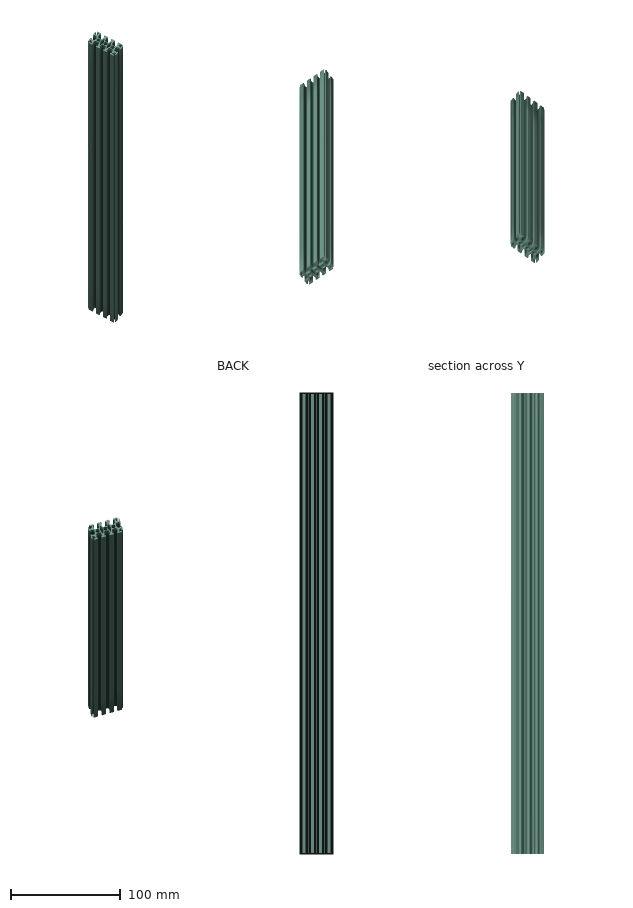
import cadquery as cq
import math

WIDTH = 30.0
DEPTH = 15.0
LENGTH = 420.0
SLOT_PITCH = 7.5

MOUTH_HALF = 1.75
LIP_RADIUS = 0.5
LIP_THICKNESS = 1.3
CAVITY_HALF_TOP = 2.8
CAVITY_HALF = 2.4
TAPER_END = 2.9
FLOOR_HALF = 1.15
FLOOR_SLOPE = math.radians(4.9)
FLOOR_CORNER_HEIGHT = 0.7
FACE_SLOT_DEPTH = 5.4
SIDE_SLOT_DEPTH = 4.8

CORNER_MOUTH = 1.4
CORNER_LIP_TURN = math.radians(173.5)
CORNER_POCKET = 3.8
POCKET_BULGE = 0.7

BORE_RADIUS = 1.8
VOID_X = 3.6
VOID_HALF_WIDTH = 1.45
VOID_HALF_HEIGHT = 4.5
VOID_SIDE_HALF = 0.5

OVERCUT = 1.0


def lip_point(mouth, angle):
    """Point on a rounded lip after turning by `angle` from the outer face, as (across, depth)."""
    across = mouth + LIP_RADIUS * (1 - math.sin(angle))
    depth = LIP_RADIUS * (1 - math.cos(angle))
    return across, depth


def slot_half(depth, sloped):
    """Corners of one half of a slot, from the lip down to the floor edge, as (across, depth)."""
    floor_rise = FLOOR_HALF * math.tan(FLOOR_SLOPE) if sloped else 0.0
    return [
        (MOUTH_HALF, LIP_THICKNESS),
        (CAVITY_HALF_TOP, LIP_THICKNESS),
        (CAVITY_HALF, TAPER_END),
        (CAVITY_HALF, depth - FLOOR_CORNER_HEIGHT),
        (FLOOR_HALF, depth - floor_rise),
    ]


def slot_cutter(depth, left_sloped=True, right_sloped=True):
    """Slot opening toward +Y, with its mouth centred on the origin."""
    edge = MOUTH_HALF + LIP_RADIUS
    lip_middle = lip_point(MOUTH_HALF, math.pi / 4)
    lip_end = lip_point(MOUTH_HALF, math.pi / 2)

    def right(point):
        return point[0], -point[1]

    def left(point):
        return -point[0], -point[1]

    outline = cq.Workplane("XY").moveTo(edge, 0).threePointArc(right(lip_middle), right(lip_end))
    for point in slot_half(depth, right_sloped):
        outline = outline.lineTo(*right(point))
    outline = outline.lineTo(0, -depth)
    for point in reversed(slot_half(depth, left_sloped)):
        outline = outline.lineTo(*left(point))
    outline = outline.lineTo(*left(lip_end)).threePointArc(left(lip_middle), (-edge, 0))
    outline = outline.lineTo(-edge, OVERCUT).lineTo(edge, OVERCUT).close()
    return outline.extrude(LENGTH)


def corner_cutter():
    """Groove for a corner at the origin, with the bar on its +X +Y side."""
    edge = CORNER_MOUTH + LIP_RADIUS
    lip_middle = lip_point(CORNER_MOUTH, CORNER_LIP_TURN / 2)
    lip_end = lip_point(CORNER_MOUTH, CORNER_LIP_TURN)
    back_slope = math.tan(math.pi - CORNER_LIP_TURN)
    back_end = (CORNER_POCKET, lip_end[1] + (CORNER_POCKET - lip_end[0]) * back_slope)
    bulge = back_end[1] + POCKET_BULGE * (CORNER_POCKET - back_end[1])

    def mirrored(point):
        return point[1], point[0]

    return (
        cq.Workplane("XY")
        .moveTo(edge, 0)
        .threePointArc(lip_middle, lip_end)
        .lineTo(*back_end)
        .threePointArc((bulge, bulge), mirrored(back_end))
        .lineTo(*mirrored(lip_end))
        .threePointArc(mirrored(lip_middle), (0, edge))
        .lineTo(-OVERCUT, edge)
        .lineTo(-OVERCUT, -OVERCUT)
        .lineTo(edge, -OVERCUT)
        .close()
        .extrude(LENGTH)
    )


def placed(cutter, angle, x, y):
    return cutter.rotate((0, 0, 0), (0, 0, 1), angle).translate((x, y, 0))


def cut_slots(bar):
    """Three slots in each wide face and one in each narrow face."""
    centre_slot = slot_cutter(FACE_SLOT_DEPTH)
    flat_right = slot_cutter(FACE_SLOT_DEPTH, right_sloped=False)
    flat_left = slot_cutter(FACE_SLOT_DEPTH, left_sloped=False)
    wide_face_slots = (
        (-SLOT_PITCH, flat_right, flat_left),
        (0, centre_slot, centre_slot),
        (SLOT_PITCH, flat_left, flat_right),
    )
    for x, back_slot, front_slot in wide_face_slots:
        bar = bar.cut(placed(back_slot, 0, x, DEPTH / 2))
        bar = bar.cut(placed(front_slot, 180, x, -DEPTH / 2))
    side_slot = slot_cutter(SIDE_SLOT_DEPTH)
    bar = bar.cut(placed(side_slot, 90, -WIDTH / 2, 0))
    return bar.cut(placed(side_slot, -90, WIDTH / 2, 0))


def cut_corners(bar):
    groove = corner_cutter()
    corners = ((0, -1, -1), (90, 1, -1), (180, 1, 1), (270, -1, 1))
    for angle, x_side, y_side in corners:
        bar = bar.cut(placed(groove, angle, x_side * WIDTH / 2, y_side * DEPTH / 2))
    return bar


def cut_cores(bar):
    """Round bores between opposite slots, and a tall six-sided void inside each inner rib."""
    bore_centres = [(-SLOT_PITCH, 0), (0, 0), (SLOT_PITCH, 0)]
    bar = bar.cut(cq.Workplane("XY").pushPoints(bore_centres).circle(BORE_RADIUS).extrude(LENGTH))
    void_outline = [
        (-VOID_HALF_WIDTH, VOID_SIDE_HALF),
        (0, VOID_HALF_HEIGHT),
        (VOID_HALF_WIDTH, VOID_SIDE_HALF),
        (VOID_HALF_WIDTH, -VOID_SIDE_HALF),
        (0, -VOID_HALF_HEIGHT),
        (-VOID_HALF_WIDTH, -VOID_SIDE_HALF),
    ]
    void = cq.Workplane("XY").polyline(void_outline).close().extrude(LENGTH)
    for x in (-VOID_X, VOID_X):
        bar = bar.cut(void.translate((x, 0, 0)))
    return bar


bar = cq.Workplane("XY").box(WIDTH, DEPTH, LENGTH, centered=(True, True, False))
bar = cut_slots(bar)
bar = cut_corners(bar)
bar = cut_cores(bar)
result = bar.translate((0, 0, -LENGTH / 2))